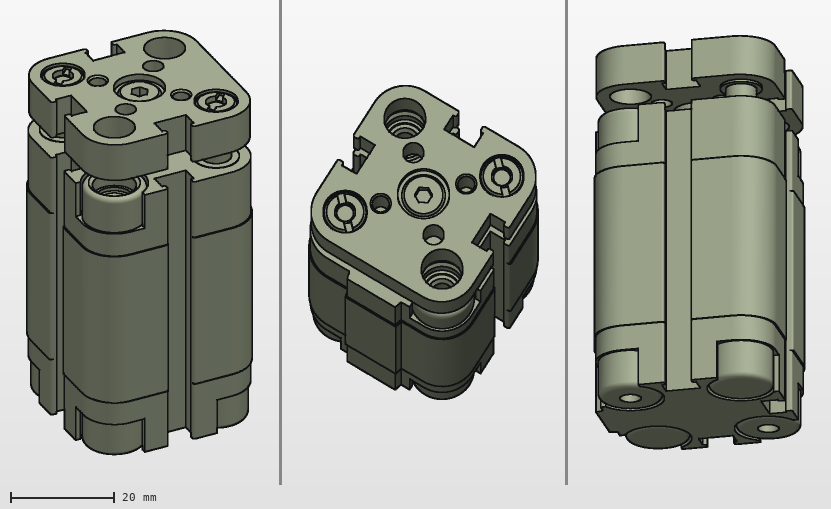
import cadquery as cq
import math


housing_height = 58.0
stroke_gap = 4.5
plate_thickness = 8.0
plate_bottom = housing_height + stroke_gap
plate_top = plate_bottom + plate_thickness
cap_length = 12.5
rod_end = cap_length

barrel_half = 18.0
cap_step = 0.25
cap_half = barrel_half - cap_step
plate_half = 17.7
plate_corner_radius = 7.0
axis_offset = 11.0
guide_spots = [(-axis_offset, -axis_offset), (axis_offset, axis_offset)]
post_spots = [(-axis_offset, axis_offset), (axis_offset, -axis_offset)]

slot_opening_half = 2.7
slot_inner_half = 3.4
slot_floor = 13.1
lip_inner = 16.4
lip_rounding = 0.4

ridge_height = 1.5
ridge_base_half = 6.1
ridge_top_half = 5.7

post_diameter = 12.5
post_groove_diameter = 13.1
post_rounding = 1.0
relief_depth = 7.5
relief_wall = 7.8
relief_reach = 12.0

bore_rim_diameter = 10.0
bore_pocket_diameter = 8.5
bore_rim_depth = 0.5
bore_pocket_depth = 3.2
bore_seat_diameter = 7.2
bore_seat_depth = 4.0
bore_funnel_diameter = 5.6
bore_diameter = 4.13

piston_rod_diameter = 10.0
rod_flat_half = 4.5
rod_collar_height = 0.2
guide_rod_diameter = 6.0
bearing_diameter = 9.0
bearing_height = 0.1
sleeve_diameter = 8.1
sleeve_projection = 0.5

access_hole_diameter = 8.0
small_hole_offset = 6.0
clearance_hole_diameter = 4.0
thread_hole_diameter = 3.24
thread_mouth_diameter = 4.0

nut_recess_diameter = 8.5
nut_top_depth = 0.2
nut_top = plate_top - nut_top_depth
nut_tip_diameter = 7.2
nut_slot_width = 1.4
nut_slot_depth = 1.0
nut_slot_angle = -45.0
stud_diameter = 4.0
stud_tip_diameter = 3.24
stud_top_depth = 1.2
stud_top = plate_top - stud_top_depth
head_recess_diameter = 10.0
head_top_depth = 0.9
head_top = plate_top - head_top_depth
head_diameter = 8.4
head_tip_diameter = 7.5
hex_across_flats = 3.0
hex_depth = 2.0


def level(height):
    return cq.Workplane("XY").workplane(offset=height)


def cylinder(spots, diameter, bottom, top):
    """Upright cylinders at the given spots."""
    return level(bottom).pushPoints(spots).circle(diameter / 2).extrude(top - bottom)


def cone_below(spot, bottom_diameter, top_diameter, top):
    """Upright 45-degree truncated cone that ends at the level `top`."""
    height = abs(top_diameter - bottom_diameter) / 2
    base = cq.Vector(*spot, top - height)
    return cq.Workplane(cq.Solid.makeCone(bottom_diameter / 2, top_diameter / 2, height, base))


def rounded_square(half, radius, bottom, top):
    block = level(bottom).rect(2 * half, 2 * half).extrude(top - bottom)
    return block.edges("|Z").fillet(radius)


def slot_cutter(half, bottom, top):
    """Three T-slots for a square section; each lip is rounded at both corners."""
    half_slot = (
        level(bottom)
        .moveTo(0, -slot_floor)
        .lineTo(slot_inner_half, -slot_floor)
        .lineTo(slot_inner_half, -lip_inner)
        .lineTo(slot_opening_half + lip_rounding, -lip_inner)
        .radiusArc((slot_opening_half, -lip_inner - lip_rounding), -lip_rounding)
        .lineTo(slot_opening_half, -half + lip_rounding)
        .radiusArc((slot_opening_half + lip_rounding, -half), -lip_rounding)
        .lineTo(0, -half)
        .close()
        .extrude(top - bottom)
    )
    slot = half_slot.union(half_slot.mirror("YZ"))
    cutter = slot
    for angle in (-90, 90):
        cutter = cutter.union(slot.rotate((0, 0, 0), (0, 0, 1), angle))
    return cutter


def ridge(half, bottom, top):
    """Tapered ridge on the +Y side, narrower on the caps by the step between barrel and cap."""
    inset = barrel_half - half
    base = ridge_base_half - inset
    crest = ridge_top_half - inset
    outer = half + ridge_height
    outline = [(-base, 0), (base, 0), (base, half), (crest, outer), (-crest, outer), (-base, half)]
    return level(bottom).polyline(outline).close().extrude(top - bottom)


def housing_section(half, bottom, top):
    block = rounded_square(half, half - axis_offset, bottom, top)
    return block.union(ridge(half, bottom, top)).cut(slot_cutter(half, bottom, top))


def corner_relief(spot, bottom, top):
    """Space around a corner post: the square corner and a narrow ring."""
    center = relief_wall + relief_reach / 2
    x = math.copysign(center, spot[0])
    y = math.copysign(center, spot[1])
    corner = level(bottom).center(x, y).rect(relief_reach, relief_reach).extrude(top - bottom)
    return corner.union(cylinder([spot], post_groove_diameter, bottom, top))


def with_post(body, spot, bottom, top, end):
    """Frees a corner post in the body; the edge at its free end is rounded."""
    post = cylinder([spot], post_diameter, bottom, top).edges(end).fillet(post_rounding)
    return body.cut(corner_relief(spot, bottom, top)).union(post)


def post_bore(spot):
    """Stepped bore through the whole housing at an open post."""
    pocket_floor = housing_height - bore_pocket_depth
    seat_floor = housing_height - bore_seat_depth
    rim = cq.Workplane(cq.Solid.makeCone(
        bore_pocket_diameter / 2,
        bore_rim_diameter / 2,
        bore_rim_depth,
        cq.Vector(*spot, housing_height - bore_rim_depth),
    ))
    return (
        cylinder([spot], bore_diameter, 0, housing_height)
        .union(cone_below(spot, bore_diameter, bore_funnel_diameter, seat_floor))
        .union(cylinder([spot], bore_seat_diameter, seat_floor, housing_height))
        .union(cylinder([spot], bore_pocket_diameter, pocket_floor, housing_height))
        .union(rim)
    )


def make_housing():
    barrel_top = housing_height - cap_length
    body = housing_section(cap_half, 0, cap_length)
    body = body.union(housing_section(barrel_half, cap_length, barrel_top))
    body = body.union(housing_section(cap_half, barrel_top, housing_height))

    for spot in guide_spots + post_spots:
        body = with_post(body, spot, 0, relief_depth, "<Z")
    for spot in post_spots:
        body = with_post(body, spot, housing_height - relief_depth, housing_height, ">Z")
        body = body.cut(post_bore(spot))

    bearing_top = housing_height + bearing_height
    body = body.union(cylinder(guide_spots, bearing_diameter, housing_height, bearing_top))
    body = body.cut(cylinder(guide_spots, guide_rod_diameter, rod_end, bearing_top))
    return body.cut(cylinder([(0, 0)], piston_rod_diameter, rod_end, housing_height))


def make_plate():
    plate = rounded_square(plate_half, plate_corner_radius, plate_bottom, plate_top)
    plate = plate.cut(slot_cutter(plate_half, plate_bottom, plate_top))
    plate = plate.cut(cylinder(post_spots, access_hole_diameter, plate_bottom, plate_top))

    s = small_hole_offset
    plate = plate.cut(cylinder([(-s, s), (s, -s)], clearance_hole_diameter, plate_bottom, plate_top))
    for spot in [(-s, -s), (s, s)]:
        plate = plate.cut(cylinder([spot], thread_hole_diameter, plate_bottom, plate_top))
        plate = plate.cut(cone_below(spot, thread_hole_diameter, thread_mouth_diameter, plate_top))
    return plate


def with_tapered_end(body, spot, recess_diameter, diameter, tip_diameter, top):
    """Cuts a round recess in the plate top and leaves a chamfered end standing in it."""
    shoulder = top - (diameter - tip_diameter) / 2
    body = body.cut(cylinder([spot], recess_diameter, shoulder, plate_top))
    return body.union(cone_below(spot, diameter, tip_diameter, top))


def nut_slot(spot):
    """Screwdriver slot across a nut."""
    bar = (
        level(nut_top - nut_slot_depth)
        .rect(nut_recess_diameter, nut_slot_width)
        .extrude(nut_slot_depth)
        .rotate((0, 0, 0), (0, 0, 1), nut_slot_angle)
        .translate((*spot, 0))
    )
    return bar.intersect(cylinder([spot], sleeve_diameter, nut_top - nut_slot_depth, nut_top))


def piston_rod():
    """Round rod with two wrench flats facing -Y and +Y above a thin round collar."""
    rod = cylinder([(0, 0)], piston_rod_diameter, rod_end, plate_bottom)
    flats_bottom = housing_height + rod_collar_height
    beside_flats = (
        level(flats_bottom)
        .rect(2 * piston_rod_diameter, 2 * piston_rod_diameter)
        .rect(2 * piston_rod_diameter, 2 * rod_flat_half)
        .extrude(plate_bottom - flats_bottom)
    )
    return rod.cut(beside_flats)


def make_yoke():
    yoke = make_plate()

    sleeve_bottom = plate_bottom - sleeve_projection
    yoke = yoke.union(cylinder(guide_spots, guide_rod_diameter, rod_end, plate_bottom))
    yoke = yoke.union(cylinder(guide_spots, sleeve_diameter, sleeve_bottom, plate_bottom))
    for spot in guide_spots:
        yoke = with_tapered_end(yoke, spot, nut_recess_diameter, sleeve_diameter, nut_tip_diameter, nut_top)
        yoke = yoke.cut(nut_slot(spot))
        yoke = with_tapered_end(yoke, spot, stud_diameter, stud_diameter, stud_tip_diameter, stud_top)

    yoke = yoke.union(piston_rod())
    yoke = with_tapered_end(
        yoke, (0, 0), head_recess_diameter, head_diameter, head_tip_diameter, head_top
    )
    socket = level(head_top - hex_depth).polygon(6, hex_across_flats, circumscribed=True).extrude(hex_depth)
    return yoke.cut(socket)


housing = make_housing()
yoke = make_yoke()
result = cq.Compound.makeCompound([housing.val(), yoke.val()])